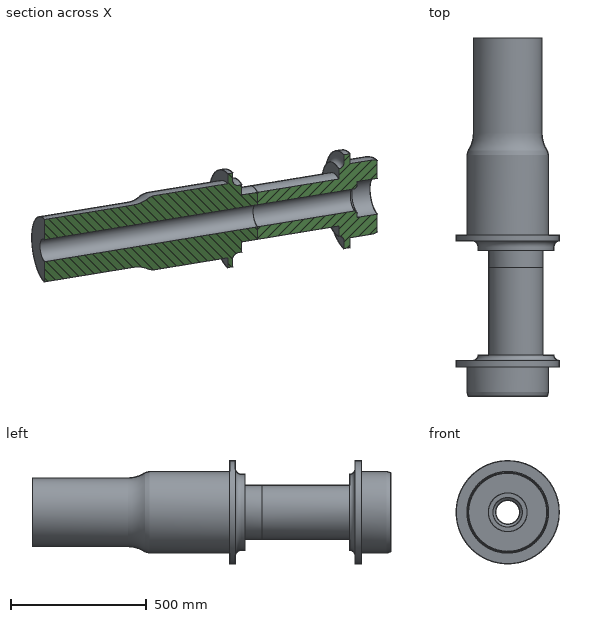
import cadquery as cq
import math

total_length = 1321.0
short_flange_start = 108.0
short_flange_end = 133.0
pin_start = 153.0
pin_joint = 475.0
collar_start = 538.0
collar_flare_start = 551.0
long_flange_start = 573.0
long_flange_end = 595.0
taper_start = 889.0
neck_start = 905.0
tail_start = 968.0

flange_radius = 190.0
journal_radius = 150.0
tail_radius = 127.0
pin_radius = 100.0
collar_radius = 140.0
flare_radius = 159.0

taper_angle = 15.0
taper_length = neck_start - taper_start
taper_drop = taper_length * math.tan(math.radians(taper_angle))
taper_end_radius = journal_radius - taper_drop
end_chamfer = 3.0

eccentricity = 30.0

bore_radius = 71.0
counterbore_depth = 79.0
cone_mouth_radius = 54.0
through_bore_radius = 44.0
bore_cone_length = 10.0


def revolve_about_y(profile):
    return profile.close().revolve(360, (0, 0, 0), (0, 1, 0))


def cylinder(radius, start, end):
    profile = cq.Workplane("XY").moveTo(0, start).lineTo(radius, start).lineTo(radius, end).lineTo(0, end)
    return revolve_about_y(profile)


def tangent_arc_middle(cylinder_radius, tangent_y, edge_radius, edge_y):
    """Mid point of a concave arc that leaves a cylinder tangentially and rises to an edge."""
    rise = edge_radius - cylinder_radius
    run = edge_y - tangent_y
    arc_radius = (rise**2 + run**2) / (2 * rise)
    half_angle = math.asin(abs(run) / arc_radius) / 2
    middle_radius = cylinder_radius + arc_radius * (1 - math.cos(half_angle))
    middle_y = tangent_y + math.copysign(arc_radius * math.sin(half_angle), run)
    return (middle_radius, middle_y)


def collar_flare(tangent_y, flange_y):
    """Concave flare between a collar and the face of its flange, on the pin axis."""
    middle = tangent_arc_middle(collar_radius, tangent_y, flare_radius, flange_y)
    profile = (
        cq.Workplane("XY")
        .moveTo(0, tangent_y)
        .lineTo(collar_radius, tangent_y)
        .threePointArc(middle, (flare_radius, flange_y))
        .lineTo(0, flange_y)
    )
    return revolve_about_y(profile).translate((eccentricity, 0, 0))


def pin_cylinder(radius, start, end):
    return cylinder(radius, start, end).translate((eccentricity, 0, 0))


def short_journal():
    profile = (
        cq.Workplane("XY")
        .lineTo(taper_end_radius - end_chamfer, 0)
        .lineTo(taper_end_radius, end_chamfer)
        .lineTo(journal_radius, taper_length)
        .lineTo(journal_radius, short_flange_start)
        .lineTo(flange_radius, short_flange_start)
        .lineTo(flange_radius, short_flange_end)
        .lineTo(0, short_flange_end)
    )
    return revolve_about_y(profile)


def long_journal():
    neck_middle = tangent_arc_middle(tail_radius, tail_start, taper_end_radius, neck_start)
    profile = (
        cq.Workplane("XY")
        .moveTo(0, long_flange_start)
        .lineTo(flange_radius, long_flange_start)
        .lineTo(flange_radius, long_flange_end)
        .lineTo(journal_radius, long_flange_end)
        .lineTo(journal_radius, taper_start)
        .lineTo(taper_end_radius, neck_start)
        .threePointArc(neck_middle, (tail_radius, tail_start))
        .lineTo(tail_radius, total_length)
        .lineTo(0, total_length)
    )
    return revolve_about_y(profile)


def stepped_bore():
    cone_end = counterbore_depth + bore_cone_length
    profile = (
        cq.Workplane("XY")
        .lineTo(bore_radius, 0)
        .lineTo(bore_radius, counterbore_depth)
        .lineTo(cone_mouth_radius, counterbore_depth)
        .lineTo(through_bore_radius, cone_end)
        .lineTo(through_bore_radius, total_length)
        .lineTo(0, total_length)
    )
    return revolve_about_y(profile)


def short_crank():
    body = short_journal().union(collar_flare(pin_start, short_flange_end))
    body = body.union(pin_cylinder(pin_radius, pin_start, pin_joint))
    return body.cut(stepped_bore())


def long_crank():
    body = long_journal().union(collar_flare(collar_flare_start, long_flange_start))
    body = body.union(pin_cylinder(collar_radius, collar_start, collar_flare_start))
    body = body.union(pin_cylinder(pin_radius, pin_joint, collar_start))
    return body.cut(stepped_bore())


result = cq.Compound.makeCompound([short_crank().val(), long_crank().val()])